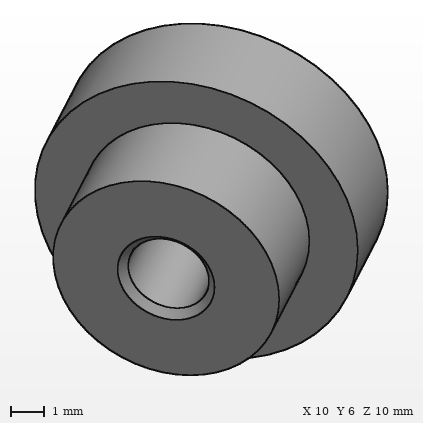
import cadquery as cq

flange_diameter = 10.0
flange_length = 3.0
boss_diameter = 7.0
boss_length = 3.0
bore_diameter = 2.5
bore_mouth_diameter = 3.0

bore_chamfer = (bore_mouth_diameter - bore_diameter) / 2
total_length = flange_length + boss_length

flange = cq.Workplane("XZ").circle(flange_diameter / 2).extrude(flange_length)
boss = cq.Workplane("XZ").circle(boss_diameter / 2).extrude(total_length)
bore = cq.Workplane("XZ").circle(bore_diameter / 2).extrude(total_length)
body = flange.union(boss).cut(bore)

bore_mouth = body.faces("<Y").edges(cq.selectors.RadiusNthSelector(0))
result = bore_mouth.chamfer(bore_chamfer)